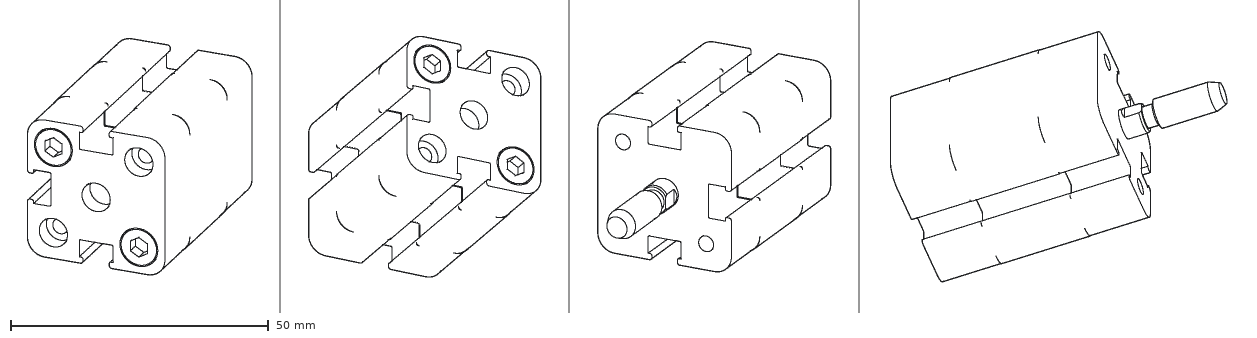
import cadquery as cq

overall_length = 63.5
body_side = 29.0
cap_length = 12.25
barrel_length = 18.4
body_length = 2 * cap_length + barrel_length
cap_corner_radius = 3.7
barrel_corner_radius = 3.5

slot_mouth_width = 5.5
slot_floor_radius = 0.25
slot_lip_thickness = 1.35
lip_inner_radius = 0.4
cap_lip_radius = 0.6
cap_slot_width = 7.1
cap_slot_depth = 4.95
barrel_lip_radius = 0.4
barrel_slot_width = 6.7
barrel_slot_depth = 4.75
slot_angles = (0, -90, 180)

fixing_offset = 9.0
fixing_corners = ((1, 1), (-1, -1))
screw_corners = ((-1, 1), (1, -1))
through_diameter = 3.25
blind_hole_diameter = 6.0
counterbore_depth = 3.5
center_hole_depth = 3.9
screw_bore_diameter = 8.0
screw_head_diameter = 7.5
screw_head_height = 4.0
socket_corner_diameter = 4.1
socket_depth = 2.5

rod_diameter = 6.0
neck_diameter = 4.4
collar_length = 4.6
collar_chamfer_length = 0.5
collar_chamfer_height = 0.2
neck_length = 2.1
shoulder_length = 0.45
tip_diameter = 4.4
tip_length = 2.1
flat_width = 5.1
flat_start = 1.1


def cylinder(diameter, length, x=0.0, z=0.0):
    """Cylinder with its axis along Y, running from y = 0 towards +Y."""
    return cq.Workplane("XZ", origin=(x, 0, z)).circle(diameter / 2).extrude(-length)


def slot_cutter(length, width, depth, lip_radius):
    """Void of the top T-slot, from y = 0 to length: a wide channel below a narrow rounded mouth."""
    top = body_side / 2
    lip_bottom = top - slot_lip_thickness
    floor = top - depth
    mouth = slot_mouth_width / 2
    wall = width / 2
    half = (
        cq.Workplane("XZ")
        .moveTo(0, top)
        .lineTo(mouth + lip_radius, top)
        .radiusArc((mouth, top - lip_radius), -lip_radius)
        .lineTo(mouth, lip_bottom + lip_inner_radius)
        .radiusArc((mouth + lip_inner_radius, lip_bottom), -lip_inner_radius)
        .lineTo(wall, lip_bottom)
        .lineTo(wall, floor + slot_floor_radius)
        .radiusArc((wall - slot_floor_radius, floor), slot_floor_radius)
        .lineTo(0, floor)
        .close()
        .extrude(-length)
    )
    return half.union(half.mirror("YZ"))


def slotted_block(length, corner_radius, cutter):
    """Square block from y = 0 to length with rounded corners and T-slots on three sides."""
    block = (
        cq.Workplane("XZ")
        .rect(body_side, body_side)
        .extrude(-length)
        .edges("|Y")
        .fillet(corner_radius)
    )
    for angle in slot_angles:
        block = block.cut(cutter.rotate((0, 0, 0), (0, 1, 0), angle))
    return block


def make_body():
    cap_slot = slot_cutter(cap_length, cap_slot_width, cap_slot_depth, cap_lip_radius)
    barrel_slot = slot_cutter(
        barrel_length, barrel_slot_width, barrel_slot_depth, barrel_lip_radius
    )
    cap = slotted_block(cap_length, cap_corner_radius, cap_slot)
    barrel = slotted_block(barrel_length, barrel_corner_radius, barrel_slot)
    barrel = barrel.translate((0, cap_length, 0))
    far_cap = cap.translate((0, cap_length + barrel_length, 0))
    return cap.union(barrel, clean=False).union(far_cap, clean=False)


def fixing_hole(x, z):
    """Through hole with a counterbore in the -Y face."""
    through = cylinder(through_diameter, body_length, x, z)
    return through.union(cylinder(blind_hole_diameter, counterbore_depth, x, z))


def screw_gap(x, z):
    """Void around a flush cap-screw head, together with its hexagon socket."""
    bore = cylinder(screw_bore_diameter, screw_head_height, x, z)
    ring = bore.cut(cylinder(screw_head_diameter, screw_head_height, x, z))
    socket = (
        cq.Workplane("XZ", origin=(x, 0, z))
        .transformed(rotate=(0, 0, 90))
        .polygon(6, socket_corner_diameter)
        .extrude(-socket_depth)
    )
    return ring.union(socket)


def make_rod():
    """Rod on the +Y face: collar with two wrench flats, neck, threaded part and tapered tip."""
    collar_end = body_length + collar_length
    neck_end = collar_end + neck_length
    rod_radius = rod_diameter / 2
    neck_radius = neck_diameter / 2
    rod = (
        cq.Workplane("XY")
        .moveTo(0, body_length)
        .lineTo(rod_radius, body_length)
        .lineTo(rod_radius, collar_end - collar_chamfer_length)
        .lineTo(rod_radius - collar_chamfer_height, collar_end)
        .lineTo(neck_radius, collar_end)
        .lineTo(neck_radius, neck_end)
        .lineTo(rod_radius, neck_end + shoulder_length)
        .lineTo(rod_radius, overall_length - tip_length)
        .lineTo(tip_diameter / 2, overall_length)
        .lineTo(0, overall_length)
        .close()
        .revolve(360, (0, 0, 0), (0, 1, 0))
    )
    flat = flat_width / 2
    flat_depth = rod_radius - flat
    flat_y = body_length + flat_start
    flat_cutter = (
        cq.Workplane("XY")
        .moveTo(flat, collar_end)
        .lineTo(flat, flat_y)
        .lineTo(rod_radius, flat_y - flat_depth)
        .lineTo(rod_radius, collar_end)
        .close()
        .extrude(rod_radius, both=True)
    )
    return rod.cut(flat_cutter).cut(flat_cutter.mirror("YZ"))


result = make_body().union(make_rod(), clean=False)
result = result.cut(cylinder(blind_hole_diameter, center_hole_depth), clean=False)
for side_x, side_z in fixing_corners:
    result = result.cut(fixing_hole(side_x * fixing_offset, side_z * fixing_offset), clean=False)
for side_x, side_z in screw_corners:
    result = result.cut(screw_gap(side_x * fixing_offset, side_z * fixing_offset), clean=False)